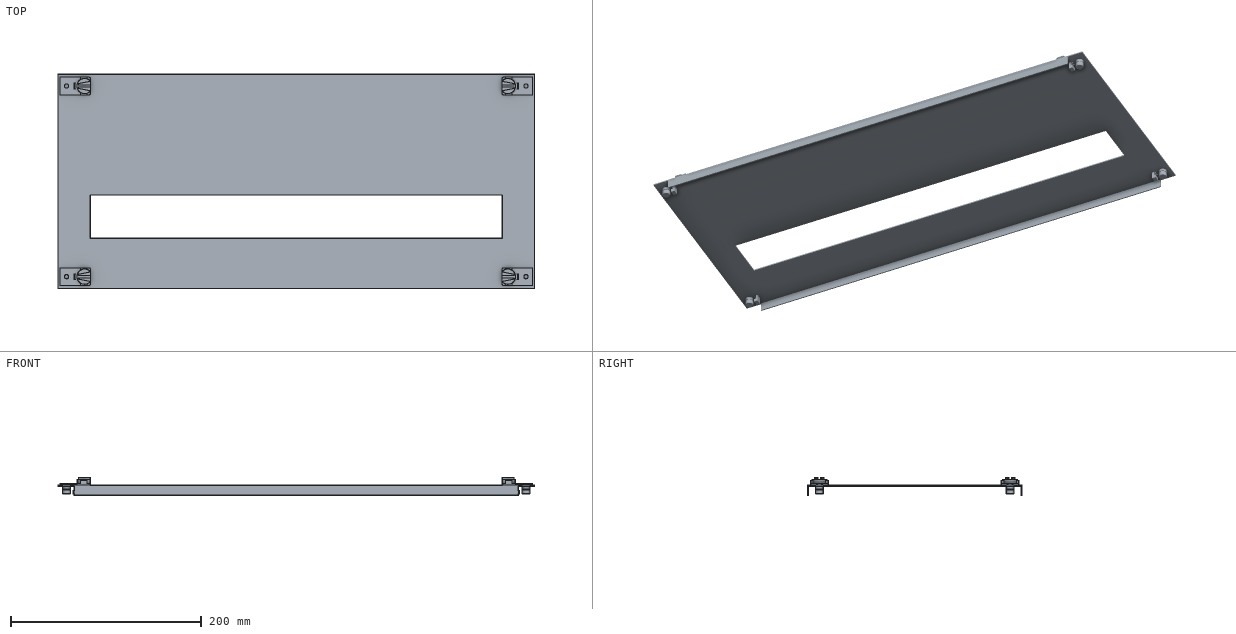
import cadquery as cq

panel_length = 500.0
panel_width = 225.0
sheet = 1.25
flange_length = 466.0
flange_depth = 10.5

window_length = 432.0
window_width = 45.0
window_center_y = -37.0

corner_y = 100.0
plate_thickness = 1.7
plate_width = 18.5
plate_outer_x = 248.0
plate_inner_x = 216.0
plate_corner_radius = 1.5

grip_x = 222.0
grip_radius = 8.0
grip_height = 4.5
lug_inner_x = 219.5
lug_outer_x = 226.5
lug_drop = 1.0

rib_height = 2.0
rib_outer_x = 228.5
rib_narrow_y = 2.5
rib_wide_y = 5.0
rib_groove_width = 2.5

hook_inner_x = 230.0
hook_outer_x = 232.0
barb_outer_x = 234.0
barb_height = 3.5
hook_width = 6.0
slot_width = 1.0

stud_x = 241.0
stud_diameter = 8.5
stud_bottom_z = -9.0
stud_hole_diameter = 4.5
stud_chamfer = 0.5
stud_groove_z = -4.0
stud_groove_width = 1.0
stud_groove_depth = 0.5

grip_base_z = plate_thickness + grip_height
grip_top_z = grip_base_z + rib_height


def box(x_min, x_max, y_center, y_size, z_min, z_max):
    """Box with X and Z limits, centred in Y."""
    return (
        cq.Workplane("XY", origin=((x_min + x_max) / 2, y_center, z_min))
        .rect(x_max - x_min, y_size)
        .extrude(z_max - z_min)
    )


def cylinder(x, diameter, z_min, z_max):
    """Upright cylinder on the centre line of the latch."""
    return cq.Workplane("XY", origin=(x, corner_y, z_min)).circle(diameter / 2).extrude(z_max - z_min)


def at_corners(body):
    """The body and its mirror images, one separate solid per corner."""
    solid = body.val()
    pair = [solid, solid.mirror("YZ")]
    return pair + [copy.mirror("XZ") for copy in pair]


def make_panel():
    body = box(-panel_length / 2, panel_length / 2, 0, panel_width, -sheet, 0)
    for side in (-1, 1):
        flange_y = side * (panel_width - sheet) / 2
        body = body.union(box(-flange_length / 2, flange_length / 2, flange_y, sheet, -flange_depth, 0))
    body = body.cut(box(-window_length / 2, window_length / 2, window_center_y, window_width, -sheet, 0))
    stud_opening = cylinder(stud_x, stud_diameter, -sheet, 0)
    hook_opening = box(hook_inner_x, barb_outer_x, corner_y, hook_width, -sheet, 0)
    for opening in at_corners(stud_opening) + at_corners(hook_opening):
        body = body.cut(cq.Workplane(opening))
    return body


def make_plate():
    plate = box(plate_inner_x, plate_outer_x, corner_y, plate_width, 0, plate_thickness)
    plate = plate.edges("|Z and <X").fillet(plate_corner_radius)
    plate = plate.cut(cylinder(stud_x, stud_hole_diameter, 0, plate_thickness))
    slot_end_x = hook_outer_x + slot_width
    return plate.cut(box(hook_outer_x, slot_end_x, corner_y, hook_width, 0, plate_thickness))


def make_grip():
    disc = cylinder(grip_x, 2 * grip_radius, plate_thickness, grip_base_z)
    plate_area = box(plate_inner_x, plate_outer_x, corner_y, plate_width, plate_thickness, grip_base_z)
    lug_top_z = grip_base_z - lug_drop
    lugs = box(lug_inner_x, lug_outer_x, corner_y, plate_width, plate_thickness, lug_top_z)
    ribs = (
        cq.Workplane("XY", origin=(0, corner_y, grip_base_z))
        .moveTo(plate_inner_x, -rib_wide_y)
        .lineTo(plate_inner_x, rib_wide_y)
        .lineTo(rib_outer_x, rib_narrow_y)
        .lineTo(rib_outer_x, -rib_narrow_y)
        .close()
        .extrude(rib_height)
    )
    groove = box(plate_inner_x, rib_outer_x, corner_y, rib_groove_width, grip_base_z, grip_top_z)
    return disc.intersect(plate_area).union(lugs).union(ribs.cut(groove))


def make_hook():
    shank = box(hook_inner_x, hook_outer_x, corner_y, hook_width, stud_bottom_z, 0)
    barb_top_z = stud_bottom_z + barb_height
    barb = box(hook_inner_x, barb_outer_x, corner_y, hook_width, stud_bottom_z, barb_top_z)
    return shank.union(barb)


def make_latch():
    return make_plate().union(make_grip()).union(make_hook())


def make_stud():
    stud = cylinder(stud_x, stud_diameter, stud_bottom_z, 0).faces("<Z").chamfer(stud_chamfer)
    groove_bottom_z = stud_groove_z - stud_groove_width
    core_diameter = stud_diameter - 2 * stud_groove_depth
    ring = cylinder(stud_x, stud_diameter, groove_bottom_z, stud_groove_z)
    core = cylinder(stud_x, core_diameter, groove_bottom_z, stud_groove_z)
    return stud.cut(ring.cut(core))


panel = make_panel()
latches = at_corners(make_latch())
studs = at_corners(make_stud())

result = cq.Compound.makeCompound([panel.val(), *latches, *studs])